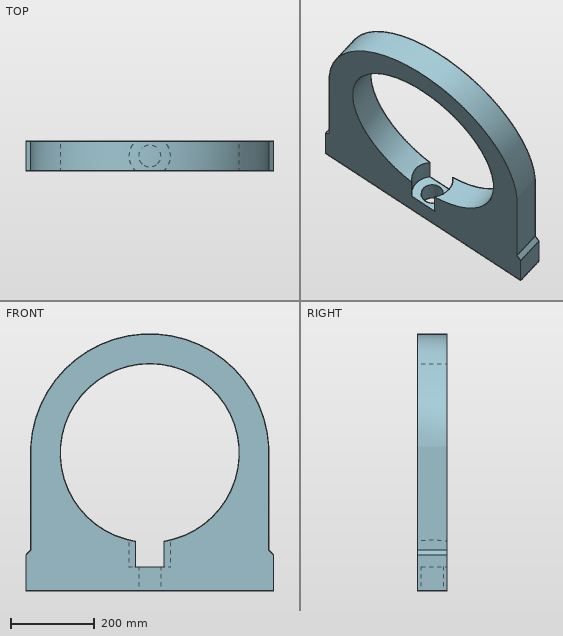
import cadquery as cq
import math

thickness = 71.64
overall_height = 618.57
foot_width = 596.06
foot_height = 87.0
arch_radius = 287.0
side_half_width = 286.6
bore_radius = 3 * thickness
pocket_mouth_width = 68.5
pocket_floor = 58.0
bolt_hole_diameter = 53.0

bore_height = overall_height - arch_radius
arch_start_height = bore_height + math.sqrt(arch_radius**2 - side_half_width**2)
foot_step = foot_width / 2 - side_half_width
pocket_diameter = math.hypot(pocket_mouth_width, thickness)


def make_plate():
    """Upright plate with a rounded top and a chamfered, slightly wider foot."""
    shoulder = foot_height + foot_step
    outline = (
        cq.Workplane("XZ")
        .moveTo(-foot_width / 2, 0)
        .lineTo(foot_width / 2, 0)
        .lineTo(foot_width / 2, foot_height)
        .lineTo(side_half_width, shoulder)
        .lineTo(side_half_width, arch_start_height)
        .threePointArc((0, overall_height), (-side_half_width, arch_start_height))
        .lineTo(-side_half_width, shoulder)
        .lineTo(-foot_width / 2, foot_height)
        .close()
    )
    return outline.extrude(thickness / 2, both=True)


def make_bore():
    """Large round opening, concentric with the rounded top."""
    return (
        cq.Workplane("XZ")
        .center(0, bore_height)
        .circle(bore_radius)
        .extrude(thickness / 2, both=True)
    )


def make_counterbored_hole():
    """Vertical bolt hole through the base with a round pocket that opens into the bore."""
    pocket = (
        cq.Workplane("XY")
        .workplane(offset=pocket_floor)
        .circle(pocket_diameter / 2)
        .extrude(bore_height - pocket_floor)
    )
    bolt_hole = cq.Workplane("XY").circle(bolt_hole_diameter / 2).extrude(pocket_floor)
    return pocket.union(bolt_hole)


result = make_plate().cut(make_bore()).cut(make_counterbored_hole())